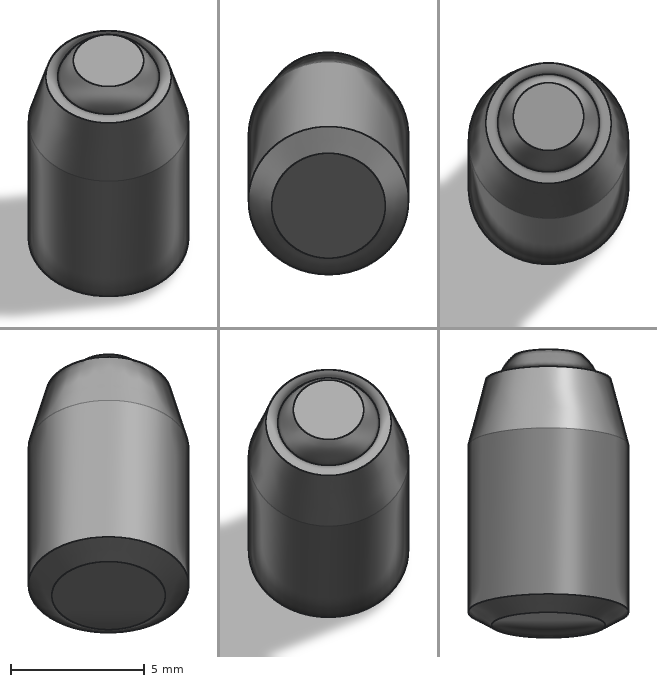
import cadquery as cq
import math

total_height = 10.3
body_diameter = 6.0

chamfer_height = 0.5
chamfer_angle = 30.0

nose_start = 6.9
nose_end = 9.4
nose_end_radius = 2.35

ball_radius = 2.0
flat_radius = 1.32

body_radius = body_diameter / 2
foot_radius = body_radius - chamfer_height / math.tan(math.radians(chamfer_angle))
ball_center = total_height - math.sqrt(ball_radius**2 - flat_radius**2)


def make_body():
    """Revolve the chamfered cylinder with its conical nose."""
    return (
        cq.Workplane("XZ")
        .lineTo(foot_radius, 0)
        .lineTo(body_radius, chamfer_height)
        .lineTo(body_radius, nose_start)
        .lineTo(nose_end_radius, nose_end)
        .lineTo(0, nose_end)
        .close()
        .revolve(360, (0, 0), (0, 1))
    )


def make_ball():
    """Revolve the part of the ball between its center and its flat top."""
    return (
        cq.Workplane("XZ")
        .moveTo(0, ball_center)
        .lineTo(ball_radius, ball_center)
        .radiusArc((flat_radius, total_height), -ball_radius)
        .lineTo(0, total_height)
        .close()
        .revolve(360, (0, 0), (0, 1))
    )


result = make_body().union(make_ball())